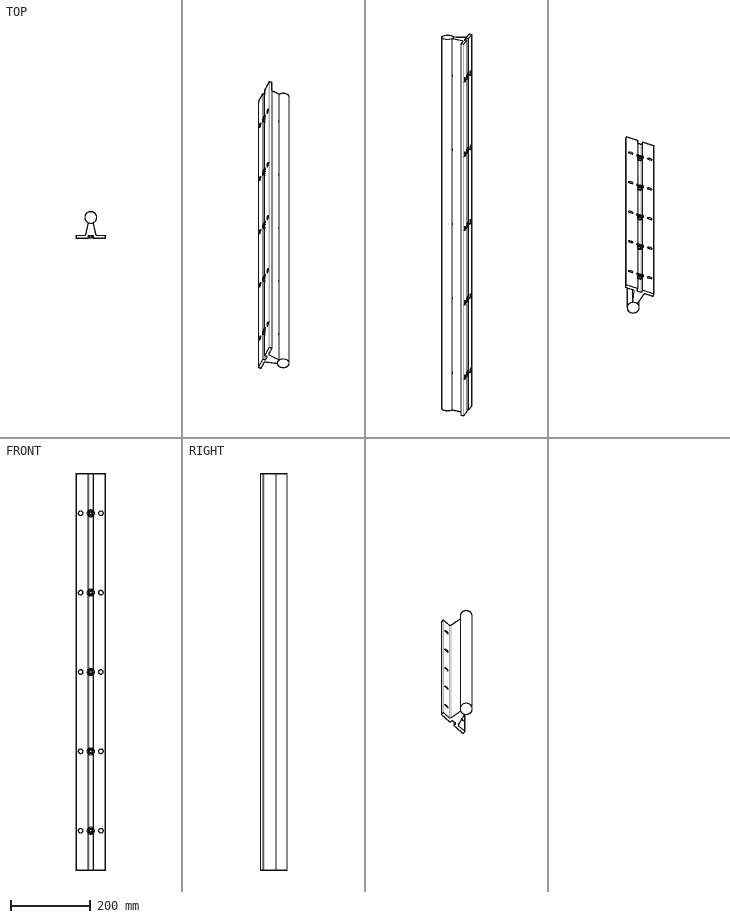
import cadquery as cq
import math

rail_length = 1000.0
overall_height = 68.0
shaft_diameter = 30.0

base_width = 74.0
base_thickness = 7.5
base_edge_fillet = 0.8
web_root_width = 27.0
web_top_width = 13.0
web_foot_fillet = 3.0

groove_width = 13.0
groove_depth = 7.0
groove_corner_radius = 2.0

station_count = 5
station_pitch = rail_length / station_count
mounting_hole_diameter = 11.0
mounting_hole_spacing = 51.0
counterbore_diameter = 18.0
counterbore_depth = 9.0
screw_head_diameter = 12.0
screw_head_height = 8.0
screw_socket_sides = 6
screw_socket_width = 6.0
screw_socket_depth = 4.0
screw_shank_diameter = 8.0
screw_depth_in_shaft = 15.0

shaft_radius = shaft_diameter / 2
shaft_axis_y = overall_height - shaft_radius
cradle_bottom_y = shaft_axis_y - shaft_radius
cradle_edge_y = shaft_axis_y - math.sqrt(shaft_radius**2 - (web_top_width / 2) ** 2)
screw_head_y = counterbore_depth - screw_head_height
screw_tip_y = cradle_bottom_y + screw_depth_in_shaft
station_heights = [(i - (station_count - 1) / 2) * station_pitch for i in range(station_count)]


def extrude_along_rail(outline):
    """Extrude an outline in the XY plane over the whole rail length."""
    return outline.extrude(rail_length / 2, both=True)


def cylinder_along_y(x, z, diameter, y_start, y_end):
    """Cylinder parallel to Y between two Y positions."""
    base_centre = cq.Vector(x, y_start, z)
    return cq.Workplane(cq.Solid.makeCylinder(diameter / 2, y_end - y_start, base_centre, cq.Vector(0, 1, 0)))


def make_base_and_web():
    """Base plate with a tapered web that ends in a cradle for the shaft."""
    outline = (
        cq.Workplane("XY")
        .moveTo(-base_width / 2, 0)
        .lineTo(base_width / 2, 0)
        .lineTo(base_width / 2, base_thickness)
        .lineTo(web_root_width / 2, base_thickness)
        .lineTo(web_top_width / 2, cradle_edge_y)
        .threePointArc((0, cradle_bottom_y), (-web_top_width / 2, cradle_edge_y))
        .lineTo(-web_root_width / 2, base_thickness)
        .lineTo(-base_width / 2, base_thickness)
        .close()
    )
    body = extrude_along_rail(outline)
    for side in (-1, 1):
        foot_edge = cq.selectors.NearestToPointSelector((side * web_root_width / 2, base_thickness, 0))
        body = body.edges(foot_edge).fillet(web_foot_fillet)
    return body.edges("|Z and (<X or >X)").fillet(base_edge_fillet)


def make_groove():
    """Underside groove with rounded floor corners."""
    outline = cq.Workplane("XY").center(0, groove_depth / 2).rect(groove_width, groove_depth)
    return extrude_along_rail(outline).edges("|Z and >Y").fillet(groove_corner_radius)


def make_support():
    """Support rail with its groove, counterbored screw holes and mounting holes."""
    support = make_base_and_web().cut(make_groove())
    for z in station_heights:
        support = support.cut(cylinder_along_y(0, z, counterbore_diameter, 0, counterbore_depth))
        support = support.cut(cylinder_along_y(0, z, screw_shank_diameter, 0, screw_tip_y))
        for side in (-1, 1):
            x = side * mounting_hole_spacing / 2
            support = support.cut(cylinder_along_y(x, z, mounting_hole_diameter, 0, base_thickness))
    return support


def make_shaft():
    """Round shaft with a blind hole for each screw."""
    shaft = extrude_along_rail(cq.Workplane("XY").center(0, shaft_axis_y).circle(shaft_radius))
    for z in station_heights:
        shaft = shaft.cut(cylinder_along_y(0, z, screw_shank_diameter, 0, screw_tip_y))
    return shaft


def make_screw(z):
    """Hex socket screw seated on the counterbore floor, with its shank ending inside the shaft."""
    head = cylinder_along_y(0, z, screw_head_diameter, screw_head_y, counterbore_depth)
    shank = cylinder_along_y(0, z, screw_shank_diameter, counterbore_depth, screw_tip_y)
    socket = (
        cq.Workplane("XZ", origin=(0, screw_head_y, z))
        .polygon(screw_socket_sides, screw_socket_width, circumscribed=True)
        .extrude(-screw_socket_depth)
    )
    return head.union(shank).cut(socket)


support = make_support()
shaft = make_shaft()
screws = [make_screw(z) for z in station_heights]

result = cq.Compound.makeCompound([support.val(), shaft.val(), *[screw.val() for screw in screws]])